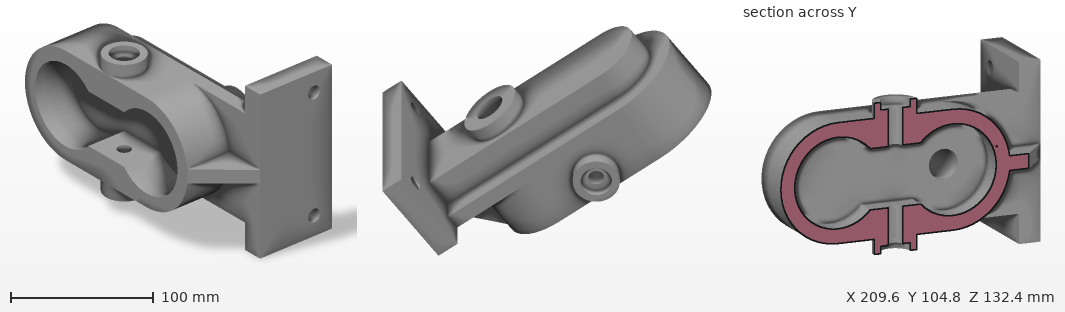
import cadquery as cq

module = 132.37 / 12

centre_distance = 8 * module
body_radius = 4 * module
body_depth = 4.5 * module
wall = 1 * module
cavity_radius = body_radius - wall
neck_half_height = cavity_radius - 1 * module
cavity_depth = 3 * module

step_radius = 2.5 * module
step_back = body_depth + 2 * module
shaft_boss_radius = 2 * module
shaft_boss_back = step_back + 1 * module
shaft_bore_radius = 1 * module

plate_thickness = 1.5 * module
plate_height = 12 * module
plate_width = 6 * module
plate_front = body_depth - 1 * module
plate_right = centre_distance + body_radius + 3 * module
plate_left = plate_right - plate_thickness
plate_hole_radius = 0.5 * module
plate_hole_edge_distance = 1.5 * module

rib_thickness = 1 * module

port_x = centre_distance / 2
port_boss_radius = 1.5 * module
port_y = port_boss_radius
port_boss_top = body_radius + 1 * module
port_hole_radius = 0.5 * module
port_counterbore_radius = 1 * module
port_counterbore_depth = 0.5 * module


def box(x_range, y_range, z_range):
    """Box spanning the given (start, end) pair along each axis."""
    sizes = [end - start for start, end in (x_range, y_range, z_range)]
    corner = (x_range[0], y_range[0], z_range[0])
    return cq.Workplane("XY").box(*sizes, centered=False).translate(corner)


def cylinder_along_y(x, radius, y_start, y_end):
    """Cylinder parallel to Y on the housing's middle height."""
    circle = cq.Workplane("XZ", origin=(x, y_start, 0)).circle(radius)
    return circle.extrude(y_start - y_end)


def double_lobe(radius, neck, y_start, y_end):
    """Two cylinders on the housing centres joined by a straight neck."""
    left = cylinder_along_y(0, radius, y_start, y_end)
    right = cylinder_along_y(centre_distance, radius, y_start, y_end)
    bridge = box((0, centre_distance), (y_start, y_end), (-neck, neck))
    return left.union(right).union(bridge)


def housing():
    body = double_lobe(body_radius, body_radius, 0, body_depth)
    step = double_lobe(step_radius, step_radius, body_depth, step_back)
    boss = cylinder_along_y(centre_distance, shaft_boss_radius, step_back, shaft_boss_back)
    return body.union(step).union(boss)


def mounting_plate():
    """Upright plate with the slab and step extension that carry the housing."""
    half_height = plate_height / 2
    plate_back = plate_front + plate_width
    plate = box((plate_left, plate_right), (plate_front, plate_back), (-half_height, half_height))
    arm_span = (centre_distance, plate_left)
    slab = box(arm_span, (plate_front, body_depth), (-body_radius, body_radius))
    step = box(arm_span, (body_depth, step_back), (-step_radius, step_radius))
    hole_y = plate_back - plate_hole_edge_distance
    hole_z = half_height - plate_hole_edge_distance
    holes = (
        cq.Workplane("YZ", origin=(plate_left, 0, 0))
        .pushPoints([(hole_y, hole_z), (hole_y, -hole_z)])
        .circle(plate_hole_radius)
        .extrude(plate_thickness)
    )
    return plate.cut(holes).union(slab).union(step)


def rib():
    """Triangular web sloping from the housing's front rim to the plate's outer edge."""
    profile = [
        (centre_distance, 0),
        (centre_distance + body_radius, 0),
        (plate_right, plate_front),
        (centre_distance, plate_front),
    ]
    web = cq.Workplane("XY").polyline(profile).close()
    return web.extrude(rib_thickness / 2, both=True)


def port_cylinder(radius, z_start, z_end):
    circle = cq.Workplane("XY", origin=(port_x, port_y, z_start)).circle(radius)
    return circle.extrude(z_end - z_start)


def port_bosses():
    upper = port_cylinder(port_boss_radius, 0, port_boss_top)
    lower = port_cylinder(port_boss_radius, -port_boss_top, 0)
    return upper.union(lower)


def port_holes():
    """One hole through both ports, counterbored from each boss face."""
    holes = port_cylinder(port_hole_radius, -port_boss_top, port_boss_top)
    counterbore_floor = port_boss_top - port_counterbore_depth
    for side in (1, -1):
        counterbore = port_cylinder(
            port_counterbore_radius, side * counterbore_floor, side * port_boss_top
        )
        holes = holes.union(counterbore)
    return holes


cavity = double_lobe(cavity_radius, neck_half_height, 0, cavity_depth)
shaft_bore = cylinder_along_y(centre_distance, shaft_bore_radius, 0, shaft_boss_back)

solid_body = housing().union(mounting_plate()).union(rib()).union(port_bosses())
result = solid_body.cut(cavity).cut(shaft_bore).cut(port_holes())